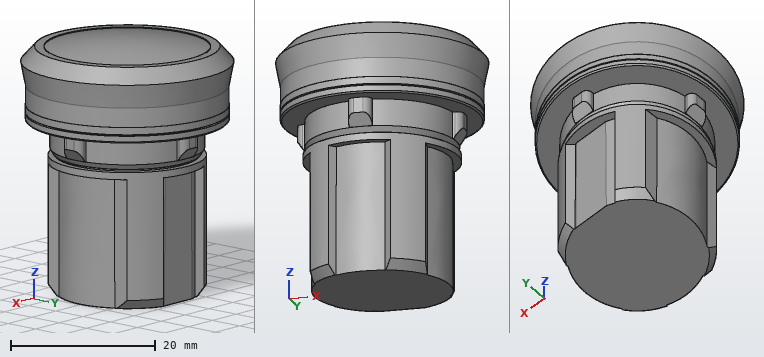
import cadquery as cq
import math

total_height = 36.2
head_radius = 14.75
rim_height = 34.95
rim_radius = 12.8
dome_radius = 11.5
dome_edge_height = 34.8
widest_height = 32.85
band_top = 29.43
band_radius = 14.08

gasket_radius = 14.1
gasket_top = 26.68
gasket_groove_top = 25.65
gasket_groove_bottom = 25.45
gasket_groove_radius = 13.6
head_bottom = 24.45
gasket_chamfer = 0.2

neck_radius = 10.7
neck_cone_top = 20.6
neck_cone_bottom = 19.8
neck_cone_radius = 10.25
collar_groove_radius = 10.0
collar_radius = 10.97
collar_top = 19.55
collar_bottom = 18.55

key_count = 4
key_reach = 11.95
key_width = 3.33
key_corner_radius = 0.995
key_slope_top = 22.25

body_top_radius = 9.75
body_bottom_radius = 9.77
body_back_y = 9.35
lug_side_x = 8.3
lug_chamfer_height = 1.4
lug_bottom_radius = 9.95
left_lug_edge_x = 4.92
right_lug_edge_x = 4.1
left_lug_root_x = 4.05
right_lug_root_x = 3.05
front_lug_root_y = 5.43
back_lug_root_y = 4.95


def on_circle(radius, offset):
    """Distance along the other axis of a circle point at the given offset."""
    return math.sqrt(radius**2 - offset**2)


def revolved_core():
    """Head, neck, collar and tapered body as one turned profile."""
    dome_mid_radius = dome_radius / 2
    dome_rise = total_height - dome_edge_height
    sphere_radius = (dome_radius**2 + dome_rise**2) / (2 * dome_rise)
    dome_mid_height = total_height - sphere_radius + on_circle(sphere_radius, dome_mid_radius)
    return (
        cq.Workplane("XZ")
        .moveTo(0, 0)
        .lineTo(body_bottom_radius, 0)
        .lineTo(body_top_radius, collar_bottom)
        .lineTo(collar_radius, collar_bottom)
        .lineTo(collar_radius, collar_top)
        .lineTo(collar_groove_radius, collar_top)
        .lineTo(collar_groove_radius, neck_cone_bottom)
        .lineTo(neck_cone_radius, neck_cone_bottom)
        .lineTo(neck_radius, neck_cone_top)
        .lineTo(neck_radius, head_bottom)
        .lineTo(gasket_radius - gasket_chamfer, head_bottom)
        .lineTo(gasket_radius, head_bottom + gasket_chamfer)
        .lineTo(gasket_radius, gasket_groove_bottom)
        .lineTo(gasket_groove_radius, gasket_groove_bottom)
        .lineTo(gasket_groove_radius, gasket_groove_top)
        .lineTo(gasket_radius, gasket_groove_top)
        .lineTo(gasket_radius, gasket_top)
        .lineTo(band_radius, gasket_top)
        .lineTo(band_radius, band_top)
        .lineTo(head_radius, widest_height)
        .lineTo(rim_radius, rim_height)
        .lineTo(dome_radius, rim_height)
        .lineTo(dome_radius, dome_edge_height)
        .threePointArc((dome_mid_radius, dome_mid_height), (0, total_height))
        .close()
        .revolve(360, (0, 0, 0), (0, 1, 0))
    )


def neck_key():
    """Round-cornered key on the +X side, sloping into the neck at its lower end."""
    key = (
        cq.Workplane("XY", origin=(0, 0, neck_cone_top))
        .rect(2 * key_reach, key_width)
        .extrude(head_bottom - neck_cone_top)
        .edges("|Z")
        .fillet(key_corner_radius)
    )
    slope_profile = (
        cq.Workplane("XZ")
        .moveTo(0, neck_cone_top)
        .lineTo(neck_radius, neck_cone_top)
        .lineTo(key_reach, key_slope_top)
        .lineTo(key_reach, head_bottom)
        .lineTo(0, head_bottom)
        .close()
        .extrude(key_width / 2, both=True)
    )
    return key.intersect(slope_profile)


def lug_blank(x_sign, y_sign, edge_x, root_x, side_root_y):
    """Corner sector between a flank beside the Y axis and a flank parallel to it."""
    edge_y = on_circle(collar_radius, edge_x)
    root_y = on_circle(body_top_radius, root_x)
    outside = 2 * collar_radius
    points = [
        (0, 0),
        (root_x, root_y),
        (edge_x, edge_y),
        (edge_x, outside),
        (outside, outside),
        (outside, on_circle(collar_radius, lug_side_x)),
        (lug_side_x, on_circle(collar_radius, lug_side_x)),
        (on_circle(body_top_radius, side_root_y), side_root_y),
    ]
    signed_points = [(x_sign * x, y_sign * y) for x, y in points]
    return cq.Workplane("XY").polyline(signed_points).close().extrude(collar_bottom)


def lug_envelope():
    """Collar-sized cylinder with a conical lower end."""
    return (
        cq.Workplane("XZ")
        .moveTo(0, 0)
        .lineTo(lug_bottom_radius, 0)
        .lineTo(collar_radius, lug_chamfer_height)
        .lineTo(collar_radius, collar_bottom)
        .lineTo(0, collar_bottom)
        .close()
        .revolve(360, (0, 0, 0), (0, 1, 0))
    )


def back_flat():
    """Material removed to flatten the back of the body between its lugs."""
    depth = collar_radius - body_back_y
    return cq.Workplane("XY").box(
        2 * right_lug_root_x, depth, collar_bottom, centered=(True, False, False)
    ).translate((0, body_back_y, 0))


result = revolved_core().cut(back_flat())

for index in range(key_count):
    key_angle = index * 360 / key_count
    result = result.union(neck_key().rotate((0, 0, 0), (0, 0, 1), key_angle))

for x_sign, edge_x, root_x in (
    (-1, left_lug_edge_x, left_lug_root_x),
    (1, right_lug_edge_x, right_lug_root_x),
):
    for y_sign, side_root_y in ((-1, front_lug_root_y), (1, back_lug_root_y)):
        blank = lug_blank(x_sign, y_sign, edge_x, root_x, side_root_y)
        result = result.union(blank.intersect(lug_envelope()))